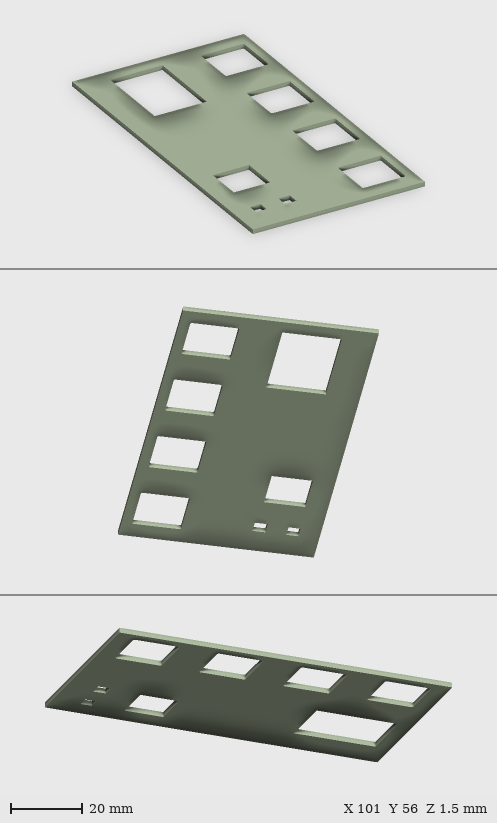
import cadquery as cq

PLATE_LENGTH = 101.0
PLATE_WIDTH = 56.0
PLATE_THICKNESS = 1.5

KEY_COUNT = 4
KEY_SIZE = 14.0
KEY_PITCH = 25.5
KEY_CORNER_RADIUS = 0.5
KEY_FIRST_LEFT = 5.0
KEY_BACK_MARGIN = 3.0
KEY_FRONT = PLATE_WIDTH - KEY_BACK_MARGIN - KEY_SIZE

WINDOW_LENGTH = 24.8
WINDOW_WIDTH = 17.0
WINDOW_LEFT = 4.5
WINDOW_FRONT = 9.8

SQUARE_SIZE = 11.8
SQUARE_LEFT = 67.6
SQUARE_FRONT = 6.4

REAR_SMALL_SIZE = 3.7
REAR_SMALL_LEFT = 88.8
REAR_SMALL_FRONT = 15.4
FRONT_SMALL_SIZE = 3.4
FRONT_SMALL_LEFT = 89.1
FRONT_SMALL_FRONT = 6.0


def block(left, front, length, width):
    """Box as thick as the plate, placed by its left front corner."""
    box = cq.Workplane("XY").box(length, width, PLATE_THICKNESS, centered=False)
    return box.translate((left, front, 0))


def key_cutout(index):
    """Round-cornered square cutout at one place in the row."""
    left = KEY_FIRST_LEFT + index * KEY_PITCH
    return block(left, KEY_FRONT, KEY_SIZE, KEY_SIZE).edges("|Z").fillet(KEY_CORNER_RADIUS)


def square_cutout(left, front, size):
    """Sharp-cornered square cutout."""
    return block(left, front, size, size)


result = block(0, 0, PLATE_LENGTH, PLATE_WIDTH)

for key_index in range(KEY_COUNT):
    result = result.cut(key_cutout(key_index))

result = result.cut(block(WINDOW_LEFT, WINDOW_FRONT, WINDOW_LENGTH, WINDOW_WIDTH))
result = result.cut(square_cutout(SQUARE_LEFT, SQUARE_FRONT, SQUARE_SIZE))
result = result.cut(square_cutout(REAR_SMALL_LEFT, REAR_SMALL_FRONT, REAR_SMALL_SIZE))
result = result.cut(square_cutout(FRONT_SMALL_LEFT, FRONT_SMALL_FRONT, FRONT_SMALL_SIZE))